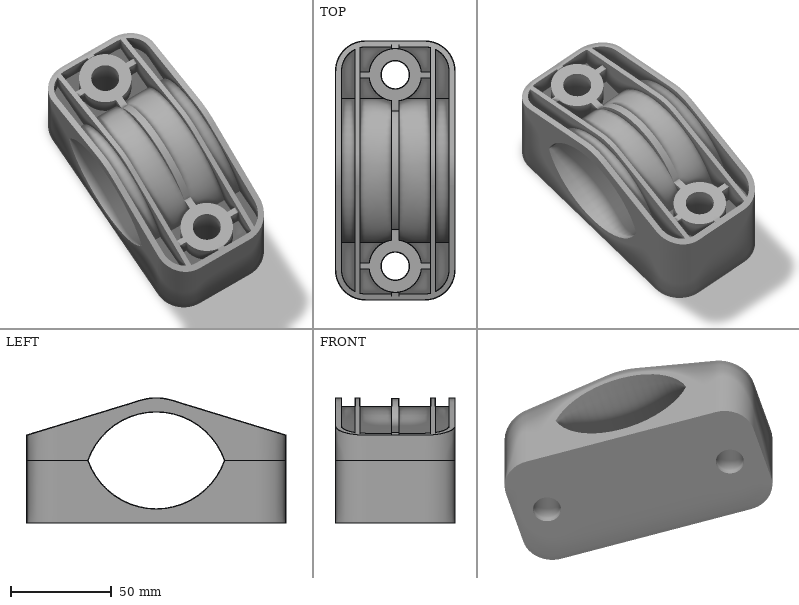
import cadquery as cq
import math

width = 59.3
length = 128.5
height = 62.19
seam_height = height / 2
corner_radius = 15.0
end_height = 43.65
crest_radius = 25.0

bore_half_width = 33.85
bore_top = 55.1
bore_rise = bore_top - seam_height

wall = 3.0
floor_height = 33.5
saddle_top = 57.95
saddle_half_length = 35.8

bolt_offset = 47.45
bolt_hole_diameter = 13.9
boss_diameter = 26.0
boss_height = 44.3

long_rib_thickness = 2.4
long_rib_offset = 18.7
cross_rib_thickness = 3.0
center_rib_thickness = 3.5
center_rib_top = 61.9
center_rib_arc_half_length = 29.4
end_rib_start_height = 44.9
end_rib_wall_entry = 1.05


def arc_radius(half_chord, rise):
    return (half_chord**2 + rise**2) / (2 * rise)


saddle_radius = arc_radius(saddle_half_length, saddle_top - floor_height)


def roof_slope():
    """Angle of a straight slope that runs from an end wall up into the crest arc."""
    run = length / 2
    rise = end_height - (height - crest_radius)
    return math.asin(crest_radius / math.hypot(run, rise)) - math.atan2(rise, run)


def rounded_block(margin, bottom, top):
    """Upright block with rounded corners, set in from the outer faces by the margin."""
    return (
        cq.Workplane("XY", origin=(0, 0, bottom))
        .rect(width - 2 * margin, length - 2 * margin)
        .extrude(top - bottom)
        .edges("|Z")
        .fillet(corner_radius - margin)
    )


def box(x, y, size_x, size_y, bottom, top):
    return cq.Workplane("XY", origin=(x, y, bottom)).rect(size_x, size_y).extrude(top - bottom)


def roof_prism():
    """Everything under the two roof slopes and the crest arc."""
    slope = roof_slope()
    tangent_y = crest_radius * math.sin(slope)
    tangent_z = height - crest_radius * (1 - math.cos(slope))
    return (
        cq.Workplane("YZ")
        .moveTo(-length / 2, 0)
        .lineTo(length / 2, 0)
        .lineTo(length / 2, end_height)
        .lineTo(tangent_y, tangent_z)
        .threePointArc((0, height), (-tangent_y, tangent_z))
        .lineTo(-length / 2, end_height)
        .close()
        .extrude(width / 2, both=True)
    )


def bore_cutter():
    return (
        cq.Workplane("YZ")
        .moveTo(-bore_half_width, seam_height)
        .threePointArc((0, bore_top), (bore_half_width, seam_height))
        .threePointArc((0, seam_height - bore_rise), (-bore_half_width, seam_height))
        .close()
        .extrude(width, both=True)
    )


def bolt_cylinders(diameter, bottom, top):
    return (
        cq.Workplane("XY", origin=(0, 0, bottom))
        .pushPoints([(0, -bolt_offset), (0, bolt_offset)])
        .circle(diameter / 2)
        .extrude(top - bottom)
    )


def saddle():
    """Cylinder that leaves a skin over the cable bore."""
    return (
        cq.Workplane("YZ", origin=(0, 0, saddle_top - saddle_radius))
        .circle(saddle_radius)
        .extrude(width / 2, both=True)
    )


def long_ribs():
    ribs = cq.Workplane("XY")
    for side in (-1, 1):
        ribs = ribs.add(box(side * long_rib_offset, 0, long_rib_thickness, length, floor_height, height))
    return ribs.combine()


def center_rib():
    """Rib along Y between the bosses: level with them at its ends, arched over the saddle."""
    return (
        cq.Workplane("YZ")
        .moveTo(-bolt_offset, floor_height)
        .lineTo(bolt_offset, floor_height)
        .lineTo(bolt_offset, boss_height)
        .lineTo(center_rib_arc_half_length, boss_height)
        .threePointArc((0, center_rib_top), (-center_rib_arc_half_length, boss_height))
        .lineTo(-bolt_offset, boss_height)
        .close()
        .extrude(center_rib_thickness / 2, both=True)
    )


def end_ribs():
    """Short ribs from each boss to its end wall, with tops that ramp down onto the wall."""
    start_y = bolt_offset + boss_diameter / 2
    end_y = length / 2 - wall + end_rib_wall_entry
    roof_height = end_height + (length / 2 - end_y) * math.tan(roof_slope())
    rib = (
        cq.Workplane("YZ")
        .moveTo(bolt_offset, floor_height)
        .lineTo(end_y, floor_height)
        .lineTo(end_y, roof_height)
        .lineTo(start_y, end_rib_start_height)
        .lineTo(bolt_offset, end_rib_start_height)
        .close()
        .extrude(center_rib_thickness / 2, both=True)
        .cut(bolt_cylinders(boss_diameter, floor_height, height))
    )
    return rib.union(rib.mirror("XZ"))


def cross_ribs():
    ribs = cq.Workplane("XY")
    for side in (-1, 1):
        y = side * bolt_offset
        ribs = ribs.add(box(0, y, 2 * long_rib_offset, cross_rib_thickness, floor_height, boss_height))
    return ribs.combine()


def make_lower_half():
    return (
        rounded_block(0, 0, seam_height)
        .cut(bore_cutter())
        .cut(bolt_cylinders(bolt_hole_diameter, 0, height))
    )


def make_upper_half():
    recess = (
        rounded_block(wall, floor_height, height)
        .cut(saddle())
        .cut(long_ribs())
    )
    return (
        rounded_block(0, seam_height, height)
        .intersect(roof_prism())
        .cut(recess)
        .union(cross_ribs())
        .union(bolt_cylinders(boss_diameter, floor_height, boss_height))
        .union(center_rib())
        .union(end_ribs())
        .cut(bore_cutter())
        .cut(bolt_cylinders(bolt_hole_diameter, 0, height))
    )


lower_half = make_lower_half()
upper_half = make_upper_half()

result = cq.Compound.makeCompound([lower_half.val(), upper_half.val()])